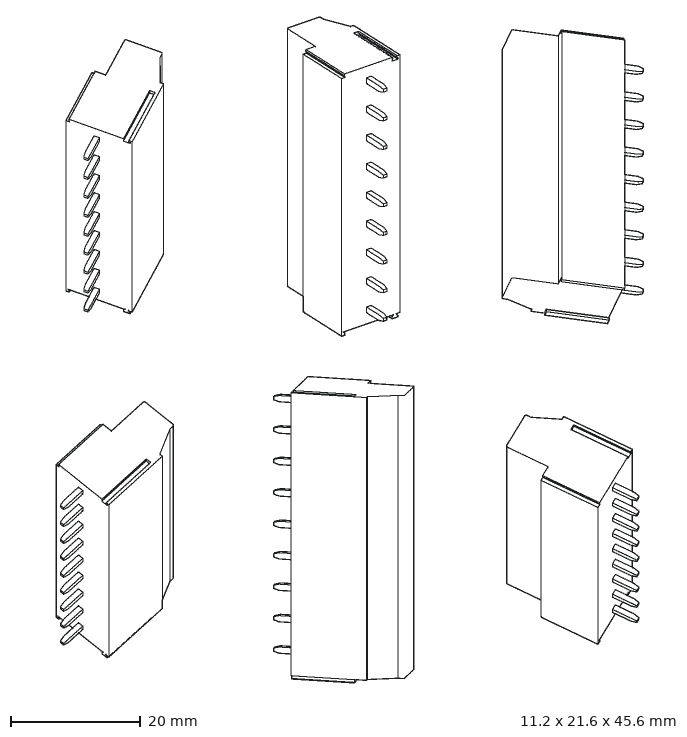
import cadquery as cq

width = 11.2
total_height = 45.65
total_depth = 21.6
housing_depth = 17.4
pin_count = 9

housing_height = 45.0
base_depth = 10.0
step_x = 2.35
rear_right_x = 8.67
slope_start_y = 16.45
slope_end_x = 10.65
shoulder_y = 12.05
rear_edge_radius = 0.27

tongue_height = total_height - housing_height
left_wide_x = 0.6
right_wide_x = (9.7, 10.77)
bulge_x = 10.85
bulge_depth = 0.5

tongue_left_root_x = 0.342
tongue_right_root_x = (9.95, 10.5)
tongue_wide_depth = 0.25

lead_in = 0.1
groove_lip_depth = 0.25
groove_left_lip_x = 0.45
groove_right_lip_x = (9.8, 10.55)
groove_wide_depth = 0.5

pin_pitch = housing_height / pin_count
first_pin_z = pin_pitch / 2
pin_x = 5.2
pin_width = 0.9
pin_thickness = 1.0
pin_length = total_depth - housing_depth
taper_length = 0.9
tip_width = 0.7
tip_thickness = 0.5
pin_embed = 0.45


def make_housing():
    body = (
        cq.Workplane("XY")
        .moveTo(0, 0)
        .lineTo(width, 0)
        .lineTo(width, shoulder_y)
        .lineTo(slope_end_x, shoulder_y)
        .lineTo(rear_right_x, slope_start_y)
        .lineTo(rear_right_x, housing_depth)
        .lineTo(step_x, housing_depth)
        .lineTo(step_x, base_depth)
        .lineTo(0, base_depth)
        .close()
        .extrude(housing_height)
    )
    return body.faces(">Y").edges("|Z").fillet(rear_edge_radius)


def extrude_along_base(outline, root_z):
    """Extrude an outline of (x, depth below root_z) points along the base block."""
    points = [(x, root_z - depth) for x, depth in outline]
    return cq.Workplane("XZ").polyline(points).close().extrude(-base_depth)


def add_tongues(housing):
    left = [
        (0, 0),
        (tongue_left_root_x, 0),
        (left_wide_x, tongue_wide_depth),
        (left_wide_x, tongue_height),
        (0, tongue_height),
    ]
    right = [
        (tongue_right_root_x[0], 0),
        (tongue_right_root_x[1], 0),
        (bulge_x, bulge_depth),
        (right_wide_x[1], tongue_height),
        (right_wide_x[0], tongue_height),
        (right_wide_x[0], tongue_wide_depth),
    ]
    return housing.union(extrude_along_base(left, 0)).union(extrude_along_base(right, 0))


def cut_grooves(housing):
    left = [
        (0, 0),
        (groove_left_lip_x + lead_in, 0),
        (groove_left_lip_x, groove_lip_depth),
        (left_wide_x, groove_wide_depth),
        (left_wide_x, tongue_height),
        (0, tongue_height),
    ]
    right = [
        (groove_right_lip_x[0] - lead_in, 0),
        (groove_right_lip_x[1] + lead_in, 0),
        (groove_right_lip_x[1], groove_lip_depth),
        (bulge_x, bulge_depth),
        (right_wide_x[1], tongue_height),
        (right_wide_x[0], tongue_height),
        (right_wide_x[0], groove_wide_depth),
        (groove_right_lip_x[0], groove_lip_depth),
    ]
    left_groove = extrude_along_base(left, housing_height)
    right_groove = extrude_along_base(right, housing_height)
    return housing.cut(left_groove).cut(right_groove)


def make_pin(z):
    shank_length = pin_length - taper_length
    shank = (
        cq.Workplane("XZ", origin=(pin_x, pin_embed, z))
        .rect(pin_width, pin_thickness)
        .extrude(pin_embed + shank_length)
    )
    tip = (
        cq.Workplane("XZ", origin=(pin_x, -shank_length, z))
        .rect(pin_width, pin_thickness)
        .workplane(offset=taper_length)
        .rect(tip_width, tip_thickness)
        .loft(ruled=True)
    )
    return shank.union(tip)


result = add_tongues(cut_grooves(make_housing()))
for index in range(pin_count):
    result = result.union(make_pin(first_pin_z + index * pin_pitch))